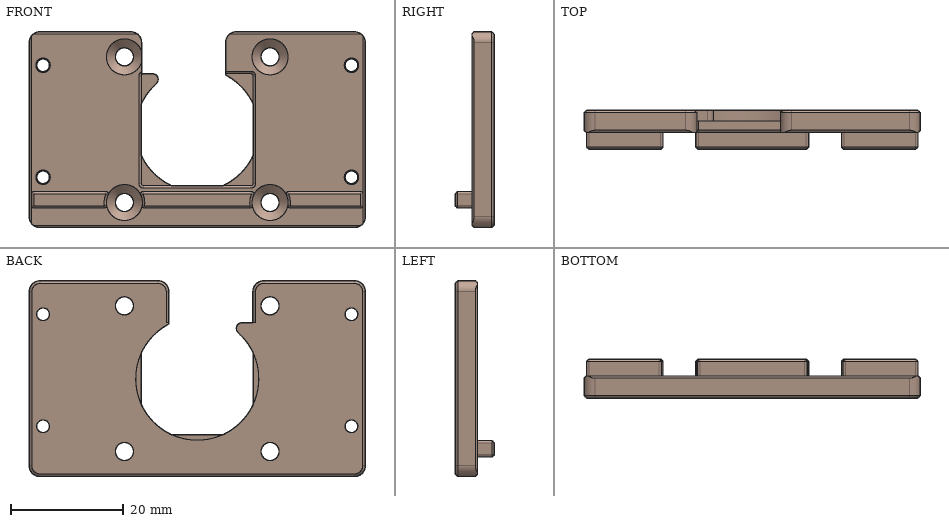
import cadquery as cq
import math

PLATE_LENGTH = 60.0
PLATE_HEIGHT = 35.0
PLATE_THICKNESS = 4.0
CORNER_RADIUS = 2.0
EDGE_CHAMFER = 0.4
BEVEL_ANGLE = 45
BACK_CHAMFER = 0.5

POCKET_SIZE = 20.0
POCKET_CORNER_RADIUS = 0.4
LIP_THICKNESS = 2.0
BORE_RADIUS = 11.0
NOTCH_LEFT = -9.9
NOTCH_RIGHT = 5.05
TONGUE_TIP_RADIUS = 1.0

SCREW_SPACING = 26.0
SCREW_DIAMETER = 3.2
SCREW_HEAD_DIAMETER = 6.4
COUNTERSINK_ANGLE = 90

PIN_SPACING_X = 55.0
PIN_SPACING_Z = 20.0
PIN_CENTER_Z = 1.5
PIN_DIAMETER = 2.2
PIN_CHAMFER = 0.2

RAIL_DEPTH = 3.0
RAIL_HEIGHT = 3.0
RAIL_BOTTOM_OFFSET = 3.5
RAIL_EDGE_RADIUS = 0.5

TOP = PLATE_HEIGHT / 2
NOTCH_WIDTH = NOTCH_RIGHT - NOTCH_LEFT
NOTCH_CENTER = (NOTCH_LEFT + NOTCH_RIGHT) / 2
POCKET_TOP = POCKET_SIZE / 2
POCKET_DEPTH = PLATE_THICKNESS - LIP_THICKNESS


def front_plane(y=0.0):
    """Sketch plane at depth y, with local axes +X and +Z; its normal points toward -Y."""
    return cq.Workplane("XZ", origin=(0, y, 0))


def notch_cutter():
    """Open slot from the pocket's top edge out through the top of the plate."""
    depth = TOP - POCKET_TOP
    return (
        front_plane()
        .center(NOTCH_CENTER, POCKET_TOP + depth / 2)
        .rect(NOTCH_WIDTH, depth)
        .extrude(-PLATE_THICKNESS)
    )


def plate():
    """Notched plate; the front bevels run out at the rounded corners, the back bevel follows them."""
    blank = front_plane().rect(PLATE_LENGTH, PLATE_HEIGHT).extrude(-PLATE_THICKNESS)
    front_bevelled = blank.faces("<Y").chamfer(EDGE_CHAMFER)
    outline = blank.cut(notch_cutter()).faces("<Z or >Z").edges("|Y").fillet(CORNER_RADIUS)
    notch_floor_edge = cq.NearestToPointSelector((NOTCH_CENTER, PLATE_THICKNESS, POCKET_TOP))
    back_bevelled = outline.faces(">Y").edges(-notch_floor_edge).chamfer(BACK_CHAMFER)
    return front_bevelled.intersect(back_bevelled)


def pocket_cutter():
    """Square pocket whose rim flares out to a bevel at the front face."""
    rim_size = POCKET_SIZE + 2 * EDGE_CHAMFER
    recess_outline = cq.Sketch().rect(POCKET_SIZE, POCKET_SIZE).vertices().fillet(POCKET_CORNER_RADIUS)
    rim_outline = cq.Sketch().rect(rim_size, rim_size).vertices().fillet(POCKET_CORNER_RADIUS + EDGE_CHAMFER)
    recess = front_plane().placeSketch(recess_outline).extrude(-POCKET_DEPTH)
    rim = front_plane().placeSketch(rim_outline).extrude(-EDGE_CHAMFER, taper=BEVEL_ANGLE)
    return recess.union(rim)


def bore_cutter():
    """Round bore through the lip, opening upward into the notch beside a round-tipped tongue."""
    tip_z = POCKET_TOP - TONGUE_TIP_RADIUS
    center_distance = BORE_RADIUS + TONGUE_TIP_RADIUS
    tip_x = -math.sqrt(center_distance**2 - tip_z**2)
    bore_share = BORE_RADIUS / center_distance
    touch_x = tip_x * bore_share
    touch_z = tip_z * bore_share
    bore = front_plane(POCKET_DEPTH).circle(BORE_RADIUS).extrude(-LIP_THICKNESS)
    below_notch = (
        front_plane(POCKET_DEPTH)
        .center(0, POCKET_TOP - BORE_RADIUS)
        .rect(2 * BORE_RADIUS, 2 * BORE_RADIUS)
        .extrude(-LIP_THICKNESS)
    )
    arc_offset = TONGUE_TIP_RADIUS * math.sqrt(0.5)
    notch_opening = (
        front_plane(POCKET_DEPTH)
        .moveTo(tip_x, POCKET_TOP)
        .threePointArc((tip_x + arc_offset, tip_z + arc_offset), (touch_x, touch_z))
        .lineTo(NOTCH_RIGHT, touch_z)
        .lineTo(NOTCH_RIGHT, POCKET_TOP)
        .close()
        .extrude(-LIP_THICKNESS)
    )
    return bore.intersect(below_notch).union(notch_opening)


def rail():
    """Rail along the front face, interrupted by round clearances for the lower screw heads."""
    length = PLATE_LENGTH - 2 * EDGE_CHAMFER
    center_z = -TOP + RAIL_BOTTOM_OFFSET + RAIL_HEIGHT / 2
    bar = front_plane().center(0, center_z).rect(length, RAIL_HEIGHT).extrude(RAIL_DEPTH)
    clearances = (
        front_plane()
        .rect(SCREW_SPACING, SCREW_SPACING, forConstruction=True)
        .vertices("<Z")
        .circle(SCREW_HEAD_DIAMETER / 2)
        .extrude(RAIL_DEPTH)
    )
    segments = bar.cut(clearances).edges("|Y").fillet(RAIL_EDGE_RADIUS)
    return segments.faces("<Y").chamfer(EDGE_CHAMFER)


def screw_cutter():
    """Four through holes countersunk from the front face."""
    taper = COUNTERSINK_ANGLE / 2
    sink_depth = (SCREW_HEAD_DIAMETER - SCREW_DIAMETER) / 2 / math.tan(math.radians(taper))
    centers = front_plane().rect(SCREW_SPACING, SCREW_SPACING, forConstruction=True).vertices()
    shanks = centers.circle(SCREW_DIAMETER / 2).extrude(-PLATE_THICKNESS)
    heads = centers.circle(SCREW_HEAD_DIAMETER / 2).extrude(-sink_depth, taper=taper)
    return shanks.union(heads)


def pin_cutter():
    """Four through holes with a small bevel at the front face."""
    pattern = front_plane().center(0, PIN_CENTER_Z)
    centers = pattern.rect(PIN_SPACING_X, PIN_SPACING_Z, forConstruction=True).vertices()
    holes = centers.circle(PIN_DIAMETER / 2).extrude(-PLATE_THICKNESS)
    bevels = centers.circle(PIN_DIAMETER / 2 + PIN_CHAMFER).extrude(-PIN_CHAMFER, taper=BEVEL_ANGLE)
    return holes.union(bevels)


result = (
    plate()
    .cut(pocket_cutter())
    .cut(bore_cutter())
    .union(rail())
    .cut(screw_cutter())
    .cut(pin_cutter())
)